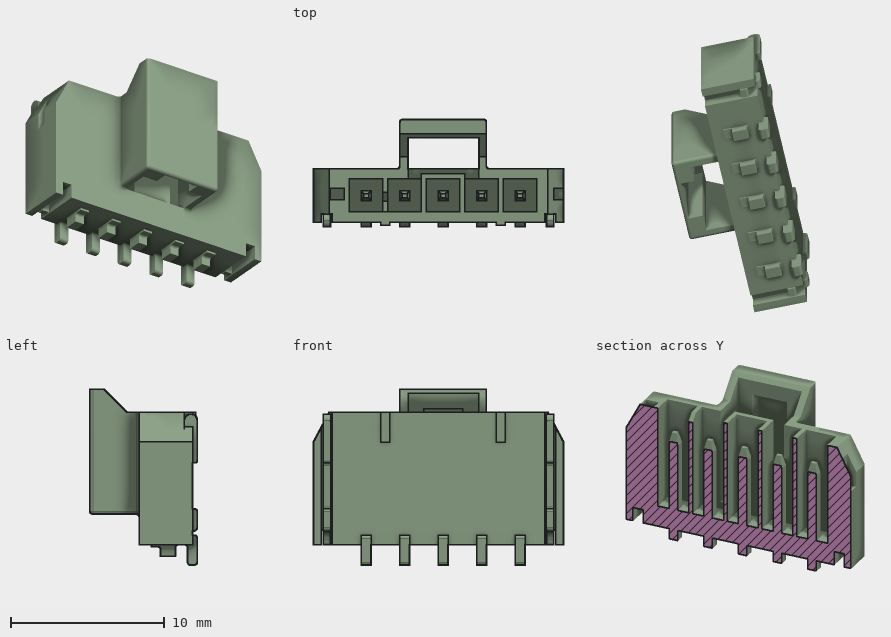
import cadquery as cq


OVERALL_HEIGHT = 11.43

PITCH = 2.5
PIN_COUNT = 5
HOUSING_LEFT = -8.415
HOUSING_LENGTH = 16.24
HOUSING_RIGHT = HOUSING_LEFT + HOUSING_LENGTH
HOUSING_CENTRE = (HOUSING_LEFT + HOUSING_RIGHT) / 2
HOUSING_DEPTH = 3.48
HOUSING_HEIGHT = 8.63
END_SLOPE_WIDTH = 1.02
END_SLOPE_HEIGHT = 1.93

CAVITY_SIDE = 2.2
CAVITY_FRONT = 0.68
CAVITY_DEPTH_Y = 2.16
CAVITY_BACK = CAVITY_FRONT + CAVITY_DEPTH_Y
FLOOR_Z = 1.5
NOTCH_DEPTH = 0.6
NOTCH_FLOOR_BACK = 1.36

SHROUD_WIDTH = 5.63
SHROUD_BACK = 6.69
SHROUD_BOTTOM = 2.0
SHROUD_TOP = 10.12
SHROUD_ROUND = 0.2
SHROUD_INNER_LEFT = -2.27
SHROUD_INNER_RIGHT = 2.32
SHROUD_INNER_BACK = 5.49
SLOPE_FRONT = 4.27
LATCH_POCKET_WIDTH = 2.53
LATCH_POCKET_DEPTH = 0.95
LATCH_POCKET_TOP = 8.84
TUBE_SIDE_WALL = PITCH - CAVITY_SIDE
TUBE_BACK = 3.17

RIB_WIDTH = 0.6
RIB_PROUD = 0.2
RIB_HEIGHT = 1.96
RIB_OFFSET = 1.5 * PITCH
END_SLOT_LEFTS = (-7.31, 7.20)
END_SLOT_WIDTH = 0.9
END_SLOT_FRONT = 1.46
END_SLOT_DEPTH_Y = 0.74
END_SLOT_DEPTH_Z = 3.0

CLIP_OFFSET = 7.25
CLIP_WIDTH = 0.5
CLIP_TOP = 8.5
CLIP_TOP_FRONT_ROUND = 0.4
CLIP_TOP_BACK_ROUND = 0.42
CLIP_RECESS_Y = 0.14
CLIP_RECESS_BOTTOM = 2.34
CLIP_RECESS_TOP = 5.33
CLIP_BEND_ROUND = 0.15
CLIP_HEEL_Z = 0.895
CLIP_HEEL_ROUND = 0.265
CLIP_TAIL_FRONT = 0.53
CLIP_TAIL_BACK = 1.03
CLIP_TAIL_BEND = 0.55
CLIP_TAIL_ROUND = 0.14
GROOVE_WIDTH = 0.7
GROOVE_DEPTH = 0.54
GROOVE_SLOT_HEIGHT = 0.957

PIN_SIDE = 0.65
PIN_CENTRE_Y = 1.735
PIN_TOP = 7.0
PIN_TIP_INSET_X = 0.16
PIN_TIP_INSET_Y = 0.2
PIN_TIP_HEIGHT = 0.8
CONTACT_PROUD = 0.3
CONTACT_TOP = 0.64
LEG_BACK = 0.34
LEG_BOTTOM = SHROUD_TOP - OVERALL_HEIGHT
LEG_ROUND = 0.2
FOOT_FRONT = 1.115
FOOT_BACK = 2.1
FOOT_BOTTOM = -0.74
FOOT_ROUND = 0.06
SHELF_BOTTOM = -0.13
SHELF_BACK = 2.69
ROOT_ROUND = 0.15

PIN_XS = [(i - (PIN_COUNT - 1) / 2) * PITCH for i in range(PIN_COUNT)]
CLIP_XS = [HOUSING_CENTRE - CLIP_OFFSET, HOUSING_CENTRE + CLIP_OFFSET]
EDGE_TOLERANCE = 0.01


def block(x0, x1, y0, y1, z0, z1):
    """Axis-aligned box between two corners."""
    return cq.Workplane("XY").box(x1 - x0, y1 - y0, z1 - z0, centered=False).translate((x0, y0, z0))


def prism_x(points, x0, x1):
    """Closed (Y, Z) outline extruded from x0 to x1."""
    return cq.Workplane("YZ").polyline(points).close().extrude(x1 - x0).translate((x0, 0, 0))


def round_x_edges(solid, corners, radius):
    """Fillet the edges along X that pass through the given (Y, Z) corners."""
    reach = 100
    t = EDGE_TOLERANCE
    for y, z in corners:
        edge = cq.selectors.BoxSelector((-reach, y - t, z - t), (reach, y + t, z + t))
        solid = solid.edges("|X").edges(edge).fillet(radius)
    return solid


def make_shell():
    """Solid housing and shroud, with the rounds where the shroud joins the back face."""
    half = SHROUD_WIDTH / 2
    overlap = HOUSING_DEPTH / 2
    shroud = block(-half, half, HOUSING_DEPTH - overlap, SHROUD_BACK, SHROUD_BOTTOM, SHROUD_TOP)
    shroud = shroud.edges("|Y and <Z").fillet(SHROUD_ROUND)
    shroud = shroud.faces(">Y").edges("not(>Z)").fillet(SHROUD_ROUND)
    shell = block(HOUSING_LEFT, HOUSING_RIGHT, 0, HOUSING_DEPTH, 0, SHROUD_TOP).union(shroud)

    t = EDGE_TOLERANCE
    root = cq.selectors.BoxSelector(
        (-half - t, HOUSING_DEPTH - t, SHROUD_BOTTOM - t),
        (half + t, HOUSING_DEPTH + t, SHROUD_TOP - t),
    )
    shell = shell.edges(root).fillet(SHROUD_ROUND)

    slope_rise = SHROUD_TOP - HOUSING_HEIGHT
    above = prism_x(
        [
            (0, HOUSING_HEIGHT),
            (SLOPE_FRONT, HOUSING_HEIGHT),
            (SLOPE_FRONT + slope_rise, SHROUD_TOP),
            (0, SHROUD_TOP),
        ],
        HOUSING_LEFT,
        HOUSING_RIGHT,
    )
    return shell.cut(above)


def end_slope(end_x, inward):
    """Wedge removed from the top of one end of the housing."""
    return (
        cq.Workplane("XZ")
        .moveTo(end_x, HOUSING_HEIGHT)
        .lineTo(end_x + inward * END_SLOPE_WIDTH, HOUSING_HEIGHT)
        .lineTo(end_x, HOUSING_HEIGHT - END_SLOPE_HEIGHT)
        .close()
        .extrude(-HOUSING_DEPTH)
    )


def cut_latch_space(shell):
    """Hollow the shroud, leaving the tube around the middle pin standing."""
    left, right = SHROUD_INNER_LEFT, SHROUD_INNER_RIGHT
    shell = shell.cut(block(left, right, HOUSING_DEPTH, SHROUD_INNER_BACK, 0, SHROUD_TOP))
    tube_half = CAVITY_SIDE / 2 + TUBE_SIDE_WALL
    opening = block(left, right, CAVITY_BACK, HOUSING_DEPTH, SHROUD_BOTTOM, HOUSING_HEIGHT)
    tube = block(-tube_half, tube_half, CAVITY_BACK, TUBE_BACK, SHROUD_BOTTOM, HOUSING_HEIGHT)
    pocket_half = LATCH_POCKET_WIDTH / 2
    pocket_back = SHROUD_INNER_BACK + LATCH_POCKET_DEPTH
    pocket = block(-pocket_half, pocket_half, SHROUD_INNER_BACK, pocket_back, 0, LATCH_POCKET_TOP)
    return shell.cut(opening.cut(tube)).cut(pocket)


def cut_cavities(shell):
    """Square cavities around the pins and the notch in the first dividing wall."""
    half = CAVITY_SIDE / 2
    for x in PIN_XS:
        shell = shell.cut(block(x - half, x + half, CAVITY_FRONT, CAVITY_BACK, FLOOR_Z, HOUSING_HEIGHT))
    notch_z = HOUSING_HEIGHT - NOTCH_DEPTH
    notch = prism_x(
        [
            (CAVITY_FRONT, HOUSING_HEIGHT),
            (CAVITY_FRONT, notch_z),
            (NOTCH_FLOOR_BACK, notch_z),
            (NOTCH_FLOOR_BACK + NOTCH_DEPTH, HOUSING_HEIGHT),
        ],
        PIN_XS[0] + half,
        PIN_XS[1] - half,
    )
    return shell.cut(notch)


def cut_ends(shell):
    """End slopes, top slots and the clip grooves."""
    shell = shell.cut(end_slope(HOUSING_LEFT, 1)).cut(end_slope(HOUSING_RIGHT, -1))
    for left in END_SLOT_LEFTS:
        slot_back = END_SLOT_FRONT + END_SLOT_DEPTH_Y
        slot_bottom = HOUSING_HEIGHT - END_SLOT_DEPTH_Z
        shell = shell.cut(
            block(left, left + END_SLOT_WIDTH, END_SLOT_FRONT, slot_back, slot_bottom, HOUSING_HEIGHT)
        )
    for x in CLIP_XS:
        x0, x1 = x - GROOVE_WIDTH / 2, x + GROOVE_WIDTH / 2
        shell = shell.cut(block(x0, x1, 0, GROOVE_DEPTH, 0, HOUSING_HEIGHT))
        shell = shell.cut(block(x0, x1, 0, HOUSING_DEPTH, 0, GROOVE_SLOT_HEIGHT))
    return shell


def front_rib(x):
    half = RIB_WIDTH / 2
    return block(x - half, x + half, -RIB_PROUD, 0, HOUSING_HEIGHT - RIB_HEIGHT, HOUSING_HEIGHT)


def make_clip(x):
    """Retaining clip: two raised pads on the front and a tail bent back into the end slot."""
    face = -CONTACT_PROUD
    heel = (face, CLIP_HEEL_Z)
    tail_bend = (CLIP_TAIL_FRONT, CLIP_HEEL_Z)
    tail_tip = (CLIP_TAIL_FRONT, 0)
    top_front = (face, CLIP_TOP)
    top_back = (GROOVE_DEPTH, CLIP_TOP)
    pad_edges = [(face, CLIP_RECESS_BOTTOM), (face, CLIP_RECESS_TOP)]
    recess_corners = [(CLIP_RECESS_Y, CLIP_RECESS_BOTTOM), (CLIP_RECESS_Y, CLIP_RECESS_TOP)]
    clip = prism_x(
        [
            heel,
            tail_bend,
            tail_tip,
            (CLIP_TAIL_BACK, 0),
            (CLIP_TAIL_BACK, GROOVE_SLOT_HEIGHT),
            (GROOVE_DEPTH, GROOVE_SLOT_HEIGHT),
            top_back,
            top_front,
            pad_edges[1],
            recess_corners[1],
            recess_corners[0],
            pad_edges[0],
        ],
        x - CLIP_WIDTH / 2,
        x + CLIP_WIDTH / 2,
    )
    clip = round_x_edges(clip, [heel], CLIP_HEEL_ROUND)
    clip = round_x_edges(clip, [tail_bend], CLIP_TAIL_BEND)
    clip = round_x_edges(clip, [tail_tip], CLIP_TAIL_ROUND)
    clip = round_x_edges(clip, [top_front], CLIP_TOP_FRONT_ROUND)
    clip = round_x_edges(clip, [top_back], CLIP_TOP_BACK_ROUND)
    return round_x_edges(clip, pad_edges + recess_corners, CLIP_BEND_ROUND)


def make_pin(x):
    """Contact lying in the floor, with solder leg and foot below and a tapered pin above."""
    half = PIN_SIDE / 2
    leg_front_top = (-CONTACT_PROUD, CONTACT_TOP)
    leg_front_bottom = (-CONTACT_PROUD, LEG_BOTTOM)
    leg_back_bottom = (LEG_BACK, LEG_BOTTOM)
    leg_root = (LEG_BACK, 0)
    foot_root = (FOOT_FRONT, 0)
    foot_tip = (FOOT_FRONT, FOOT_BOTTOM)
    shelf_root = (FOOT_BACK, SHELF_BOTTOM)
    contact = prism_x(
        [
            leg_front_top,
            leg_front_bottom,
            leg_back_bottom,
            leg_root,
            foot_root,
            foot_tip,
            (FOOT_BACK, FOOT_BOTTOM),
            shelf_root,
            (SHELF_BACK, SHELF_BOTTOM),
            (SHELF_BACK, CONTACT_TOP),
        ],
        x - half,
        x + half,
    )
    contact = round_x_edges(contact, [leg_front_top, leg_front_bottom, leg_back_bottom], LEG_ROUND)
    contact = round_x_edges(contact, [leg_root, foot_root, shelf_root], ROOT_ROUND)
    contact = round_x_edges(contact, [foot_tip], FOOT_ROUND)

    shank_top = PIN_TOP - PIN_TIP_HEIGHT
    y0, y1 = PIN_CENTRE_Y - half, PIN_CENTRE_Y + half
    shank = block(x - half, x + half, y0, y1, 0, shank_top)
    tip = (
        cq.Workplane("XY", origin=(x, PIN_CENTRE_Y, shank_top))
        .rect(PIN_SIDE, PIN_SIDE)
        .workplane(offset=PIN_TIP_HEIGHT)
        .rect(PIN_SIDE - 2 * PIN_TIP_INSET_X, PIN_SIDE - 2 * PIN_TIP_INSET_Y)
        .loft(ruled=True)
    )
    return contact.union(shank).union(tip)


header = cut_ends(cut_cavities(cut_latch_space(make_shell())))
for rib_x in (-RIB_OFFSET, RIB_OFFSET):
    header = header.union(front_rib(rib_x))
for clip_x in CLIP_XS:
    header = header.union(make_clip(clip_x))
for pin_x in PIN_XS:
    header = header.union(make_pin(pin_x))

result = header